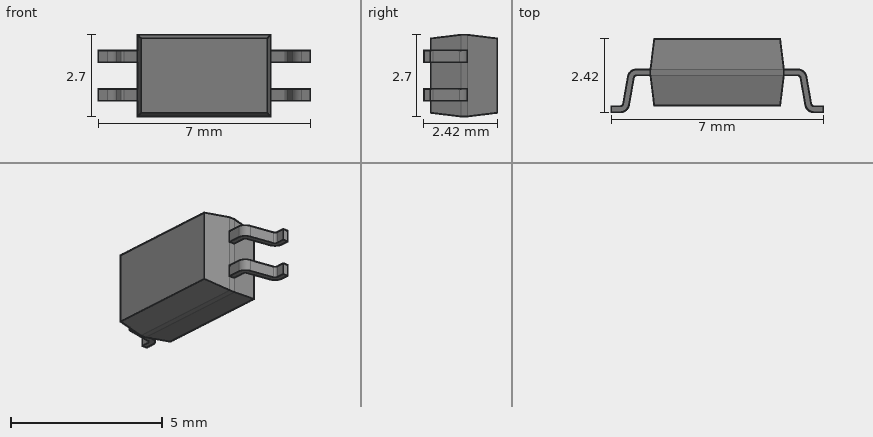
import cadquery as cq
import math

overall_length = 7.0
overall_height = 2.42

housing_length = 4.4
housing_width = 2.7
upper_half_height = 1.0
lower_half_height = 0.995
draft_angle = 7.0

lead_thickness = 0.2
lead_width = 0.4
lead_pitch = 1.27
foot_flat_length = 0.3
bend_inner_radius = 0.1
leg_lean = 10.0

bend_outer_radius = bend_inner_radius + lead_thickness
bend_angle = 90 - leg_lean
band_top = lead_thickness / 2
band_bottom = -band_top
foot_bottom = band_top + upper_half_height - overall_height
housing_end = -housing_length / 2
lead_tip = -overall_length / 2


def make_tapered_half(band_face, height, direction):
    """Half of the housing of a given height, narrowing away from the band along direction (+1 or -1) in Y."""
    plane = cq.Plane(origin=(0, band_face, 0), xDir=(1, 0, 0), normal=(0, direction, 0))
    return (
        cq.Workplane(plane)
        .rect(housing_length, housing_width)
        .extrude(height, taper=draft_angle)
    )


def make_housing():
    """Band and both tapered halves as one solid."""
    band = cq.Workplane("XY").box(housing_length, lead_thickness, housing_width)
    upper_half = make_tapered_half(band_top, upper_half_height, 1)
    lower_half = make_tapered_half(band_bottom, lower_half_height, -1)
    return band.union(upper_half).union(lower_half)


def point_on_arc(center, radius, angle):
    """Point at the given angle in degrees, counterclockwise from +X."""
    turn = math.radians(angle)
    return (center[0] + radius * math.cos(turn), center[1] + radius * math.sin(turn))


def make_left_lead(center_z):
    """Lead with its foot towards -X, ending flush against the housing."""
    foot_bend = (lead_tip + foot_flat_length, foot_bottom + bend_outer_radius)
    shoulder_bend_y = band_bottom - bend_inner_radius

    lean = math.radians(leg_lean)
    rise = shoulder_bend_y - foot_bend[1]
    radius_sum = bend_outer_radius + bend_inner_radius
    run = rise * math.tan(lean) + radius_sum / math.cos(lean)
    shoulder_bend = (foot_bend[0] + run, shoulder_bend_y)

    foot_start = -90
    foot_middle = foot_start + bend_angle / 2
    foot_end = foot_start + bend_angle
    shoulder_start = 90
    shoulder_middle = shoulder_start + bend_angle / 2
    shoulder_end = shoulder_start + bend_angle

    return (
        cq.Workplane("XY", origin=(0, 0, center_z))
        .moveTo(lead_tip, foot_bottom)
        .lineTo(*point_on_arc(foot_bend, bend_outer_radius, foot_start))
        .threePointArc(
            point_on_arc(foot_bend, bend_outer_radius, foot_middle),
            point_on_arc(foot_bend, bend_outer_radius, foot_end),
        )
        .lineTo(*point_on_arc(shoulder_bend, bend_inner_radius, shoulder_end))
        .threePointArc(
            point_on_arc(shoulder_bend, bend_inner_radius, shoulder_middle),
            point_on_arc(shoulder_bend, bend_inner_radius, shoulder_start),
        )
        .lineTo(housing_end, band_bottom)
        .lineTo(housing_end, band_top)
        .lineTo(*point_on_arc(shoulder_bend, bend_outer_radius, shoulder_start))
        .threePointArc(
            point_on_arc(shoulder_bend, bend_outer_radius, shoulder_middle),
            point_on_arc(shoulder_bend, bend_outer_radius, shoulder_end),
        )
        .lineTo(*point_on_arc(foot_bend, bend_inner_radius, foot_end))
        .threePointArc(
            point_on_arc(foot_bend, bend_inner_radius, foot_middle),
            point_on_arc(foot_bend, bend_inner_radius, foot_start),
        )
        .lineTo(lead_tip, foot_bottom + lead_thickness)
        .close()
        .extrude(lead_width / 2, both=True)
    )


housing = make_housing()

leads = []
for lead_z in (-lead_pitch / 2, lead_pitch / 2):
    left_lead = make_left_lead(lead_z)
    leads.append(left_lead.val())
    leads.append(left_lead.mirror("YZ").val())

result = cq.Compound.makeCompound([housing.val(), *leads])